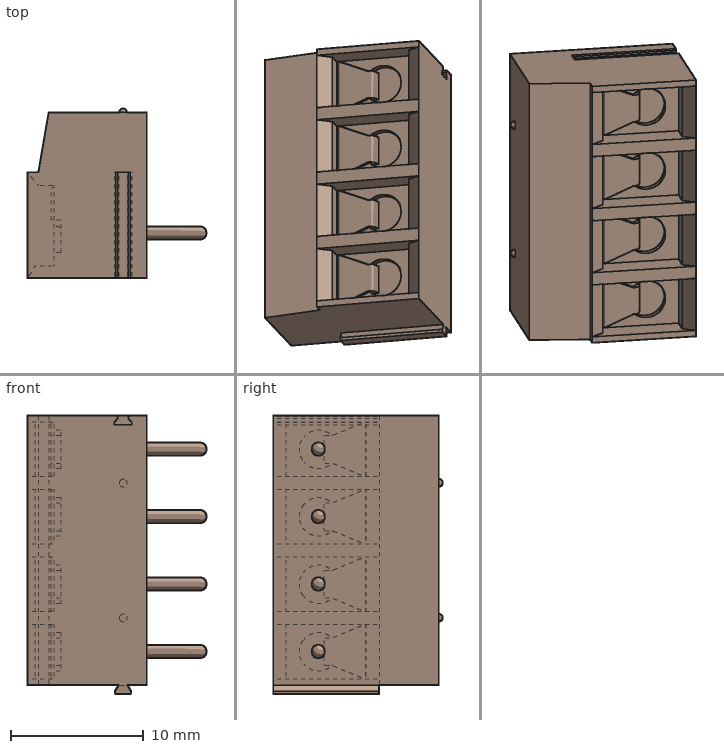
import cadquery as cq
import math

overall_height = 21.0
pole_count = 4
pole_pitch = 5.08
body_length = pole_count * pole_pitch
body_depth = 9.01
body_width = 12.5
front_width = 7.98
step_setback = 0.82
top_setback = 1.6

pocket_height = 4.12
pocket_depth = 2.0
lower_wall_y = 0.95
lower_wall_start = 0.57
upper_wall_y = 7.0
upper_wall_start = 0.82

pole_y = 3.4
hole_radius = 1.45
hole_depth = 0.5

guard_rise = 0.25
guard_bend_radius = 0.5
guard_bend_angle = 70.0
guard_flat_start = 4.45
guard_narrow = 2.1
guard_wide = 4.2

pin_radius = 0.5
pin_length = 4.5

dovetail_inset = 1.8
dovetail_x = body_depth - dovetail_inset
rail_height = overall_height - body_length
rail_neck = 0.67
rail_widest = 1.26
rail_base = 1.18
rail_flank_height = 0.46
groove_depth = 0.7
groove_lip = 1.1
groove_lip_depth = 0.08
groove_neck = 0.82
groove_neck_depth = 0.23
groove_widest = 1.3
groove_flank_depth = 0.53

bump_radius = 0.3

pole_heights = [(i + 0.5) * pole_pitch for i in range(pole_count)]
bump_heights = [pole_pitch, body_length - pole_pitch]


def make_housing():
    outline = [
        (0, 0),
        (body_depth, 0),
        (body_depth, body_width),
        (top_setback, body_width),
        (step_setback, front_width),
        (0, front_width),
    ]
    return cq.Workplane("XY").polyline(outline).close().extrude(body_length)


def make_pocket(z):
    """Flared wire pocket with a round blind hole in its floor."""
    outline = [
        (0, 0),
        (lower_wall_start, lower_wall_y),
        (pocket_depth, lower_wall_y),
        (pocket_depth, upper_wall_y),
        (upper_wall_start, upper_wall_y),
        (0, front_width),
    ]
    pocket = (
        cq.Workplane("XY", origin=(0, 0, z - pocket_height / 2))
        .polyline(outline)
        .close()
        .extrude(pocket_height)
    )
    hole = (
        cq.Workplane("YZ", origin=(pocket_depth, pole_y, z))
        .circle(hole_radius)
        .extrude(hole_depth)
    )
    return pocket.union(hole)


def make_guard(z):
    """Bent profile in XY, trimmed to the taper of the plate in YZ."""
    radius = guard_bend_radius
    face_x = pocket_depth - guard_rise
    floor_x = pocket_depth + hole_depth
    bend_x = face_x + radius
    flat_end = upper_wall_y - radius

    def on_low_bend(degrees):
        angle = math.radians(degrees)
        return (bend_x - radius * math.cos(angle), guard_flat_start - radius * math.sin(angle))

    low_x, low_y = on_low_bend(guard_bend_angle)
    tip_y = low_y - (floor_x - low_x) / math.tan(math.radians(guard_bend_angle))
    corner = radius * math.sqrt(0.5)

    bent = (
        cq.Workplane("XY", origin=(0, 0, z - guard_wide / 2))
        .moveTo(floor_x, tip_y)
        .lineTo(low_x, low_y)
        .threePointArc(on_low_bend(guard_bend_angle / 2), (face_x, guard_flat_start))
        .lineTo(face_x, flat_end)
        .threePointArc((bend_x - corner, flat_end + corner), (bend_x, upper_wall_y))
        .lineTo(floor_x, upper_wall_y)
        .close()
        .extrude(guard_wide)
    )
    taper = [
        (tip_y, -guard_narrow / 2),
        (guard_flat_start, -guard_narrow / 2),
        (upper_wall_y, -guard_wide / 2),
        (upper_wall_y, guard_wide / 2),
        (guard_flat_start, guard_narrow / 2),
        (tip_y, guard_narrow / 2),
    ]
    plan = cq.Workplane("YZ", origin=(0, 0, z)).polyline(taper).close().extrude(body_depth)
    return bent.intersect(plan)


def make_pin(z):
    """Round pin with a hemispherical tip, starting at the +X face."""
    shank_end = body_depth + pin_length - pin_radius
    shank = (
        cq.Workplane("YZ", origin=(body_depth, pole_y, z))
        .circle(pin_radius)
        .extrude(pin_length - pin_radius)
    )
    tip = cq.Workplane("XY", origin=(shank_end, pole_y, z)).sphere(pin_radius)
    return shank.union(tip)


def make_dovetail(sections):
    """Symmetric bar along Y, from (width, height) pairs listed bottom to top."""
    right = [(dovetail_x + width / 2, z) for width, z in sections]
    left = [(dovetail_x - width / 2, z) for width, z in reversed(sections)]
    return cq.Workplane("XZ").polyline(right + left).close().extrude(-front_width)


rail = make_dovetail([
    (rail_base, -rail_height),
    (rail_widest, -rail_flank_height),
    (rail_neck, 0),
])

groove = make_dovetail([
    (groove_widest, body_length - groove_depth),
    (groove_widest, body_length - groove_flank_depth),
    (groove_neck, body_length - groove_neck_depth),
    (groove_neck, body_length - groove_lip_depth),
    (groove_lip, body_length),
])

result = make_housing().union(rail).cut(groove)

for height in pole_heights:
    result = result.cut(make_pocket(height))
    result = result.union(make_guard(height))
    result = result.union(make_pin(height))

for height in bump_heights:
    bump = cq.Workplane("XY", origin=(dovetail_x, body_width, height)).sphere(bump_radius)
    result = result.union(bump)